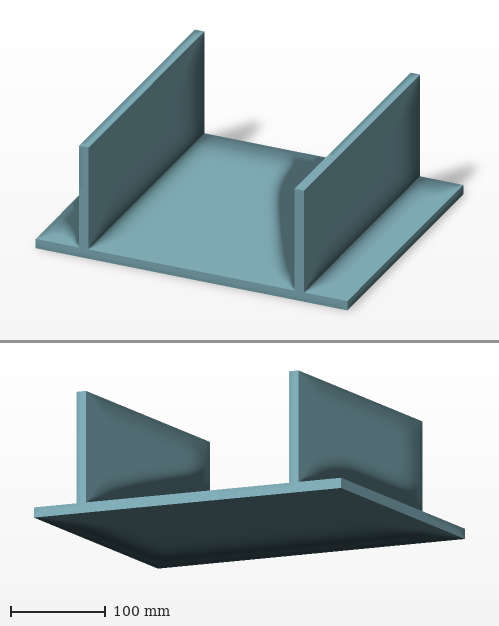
import cadquery as cq

plate_width = 360.0
length = 300.0
plate_thickness = 11.0

rib_height = 120.0
rib_thickness = 11.0
flange_width = 50.0

rib_center_x = plate_width / 2 - flange_width - rib_thickness / 2


def make_plate():
    """Flat base plate with its underside on Z = 0."""
    return cq.Workplane("XY").box(plate_width, length, plate_thickness, centered=(True, True, False))


def make_rib(center_x):
    """Upright rib standing on the plate, centred at center_x."""
    return (
        cq.Workplane("XY", origin=(center_x, 0, plate_thickness))
        .box(rib_thickness, length, rib_height, centered=(True, True, False))
    )


result = make_plate()
for side in (-1, 1):
    result = result.union(make_rib(side * rib_center_x))